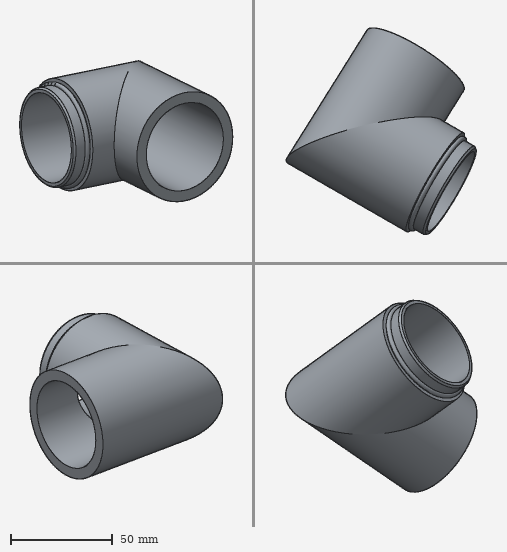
import cadquery as cq

overall_x = 76.5
overall_y = 77.5
pipe_diameter = 56.0
bore_diameter = 45.0
spigot_diameter = 50.0
spigot_tip_diameter = 48.35
spigot_length = 9.0
tip_chamfer_length = 1.1
ring_diameter = 53.2
ring_thickness = 2.55

pipe_radius = pipe_diameter / 2
x_arm_end = overall_x - pipe_radius
y_arm_end = overall_y - pipe_radius
shoulder = y_arm_end - spigot_length


def mitred_elbow(diameter, x_reach, y_reach):
    """Solid elbow of two equal round arms meeting in a 45 degree mitre."""
    radius = diameter / 2
    x_arm = cq.Workplane("YZ").workplane(offset=-radius).circle(radius).extrude(x_reach + radius)
    y_arm = cq.Workplane("XZ").workplane(offset=-radius).circle(radius).extrude(y_reach + radius)
    far = 2 * (x_reach + y_reach)
    x_side = (
        cq.Workplane("XY")
        .polyline([(-far, far), (far, far), (far, -far)])
        .close()
        .extrude(diameter, both=True)
    )
    return x_arm.intersect(x_side).union(y_arm.cut(x_side))


def spigot():
    """Reduced end of the -Y arm, with a chamfered tip."""
    cylinder_length = spigot_length - tip_chamfer_length
    straight = (
        cq.Workplane("XZ")
        .workplane(offset=shoulder)
        .circle(spigot_diameter / 2)
        .extrude(cylinder_length)
    )
    return (
        straight.faces("<Y")
        .workplane()
        .circle(spigot_diameter / 2)
        .workplane(offset=tip_chamfer_length)
        .circle(spigot_tip_diameter / 2)
        .loft(combine=True)
    )


def sealing_ring():
    """Round-section ring around the spigot, resting against the shoulder."""
    section_radius = ring_thickness / 2
    centre_radius = ring_diameter / 2 - section_radius
    return (
        cq.Workplane("XY")
        .center(-centre_radius, -shoulder - section_radius)
        .circle(section_radius)
        .revolve(360, (centre_radius, 0), (centre_radius, 1))
    )


outside = mitred_elbow(pipe_diameter, x_arm_end, shoulder).union(spigot()).union(sealing_ring())
bore = mitred_elbow(bore_diameter, x_arm_end, y_arm_end)
result = outside.cut(bore)